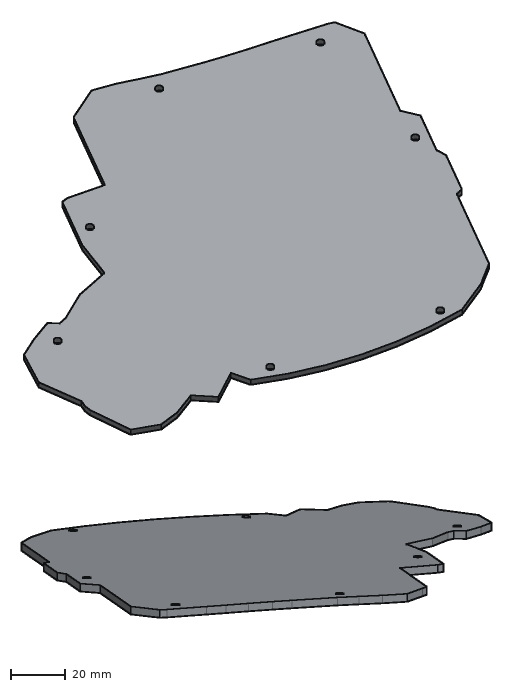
import cadquery as cq

width = 160.9
depth = 179.3
thickness = 3.0
hole_diameter = 3.0

lower_edge = 55.5
bottom_tab_edge = 38.0
upper_edge = 170.5
shoulder_edge = 176.8

arc_top = (146.1, 160.0)
arc_middle = (154.4, 106.7)
arc_bottom = (151.7, 75.0)

left_side = [
    (0.9, 66.2),
    (0.9, 75.9),
    (1.6, 84.6),
    (2.2, 92.9),
    (2.2, 110.5),
    (2.0, 118.0),
    (1.6, 127.3),
    (1.0, 136.3),
    (0.7, 143.8),
    (0.0, 159.5),
    (0.2, 162.0),
]

top_side = [
    (9.0, upper_edge),
    (48.5, upper_edge),
    (53.0, shoulder_edge),
    (70.7, shoulder_edge),
    (74.2, depth),
    (91.6, depth),
    (93.0, shoulder_edge),
    (128.5, shoulder_edge),
    (137.0, upper_edge),
    arc_top,
]

thumb_lobe = [
    (146.1, 69.2),
    (155.5, 61.0),
    (151.3, 51.6),
    (157.5, 44.1),
    (width, 36.5),
    (159.5, 25.1),
    (145.6, 14.2),
    (143.0, 13.0),
    (140.4, 12.5),
    (126.6, 0.7),
    (112.3, 0.0),
    (106.5, 6.0),
    (100.8, 13.3),
    (102.4, 17.5),
    (100.8, 20.5),
    (92.0, 29.0),
    (85.2, 41.2),
]

bottom_side = [
    (70.0, bottom_tab_edge),
    (47.7, bottom_tab_edge),
    (46.6, 40.5),
    (45.4, lower_edge),
    (10.8, lower_edge),
    (8.5, 58.1),
]

hole_centers = [
    (62.4, 171.5),
    (7.5, 153.7),
    (143.8, 152.2),
    (8.5, 90.0),
    (148.3, 84.0),
    (62.5, 43.5),
    (110.1, 14.0),
]


def plate_blank():
    left_and_top = left_side + top_side
    lobe_and_bottom = thumb_lobe + bottom_side
    outline = (
        cq.Workplane("XY")
        .polyline(left_and_top)
        .threePointArc(arc_middle, arc_bottom)
    )
    for point in lobe_and_bottom:
        outline = outline.lineTo(*point)
    return outline.close().extrude(thickness)


def screw_holes():
    return (
        cq.Workplane("XY")
        .pushPoints(hole_centers)
        .circle(hole_diameter / 2)
        .extrude(thickness)
    )


result = plate_blank().cut(screw_holes())